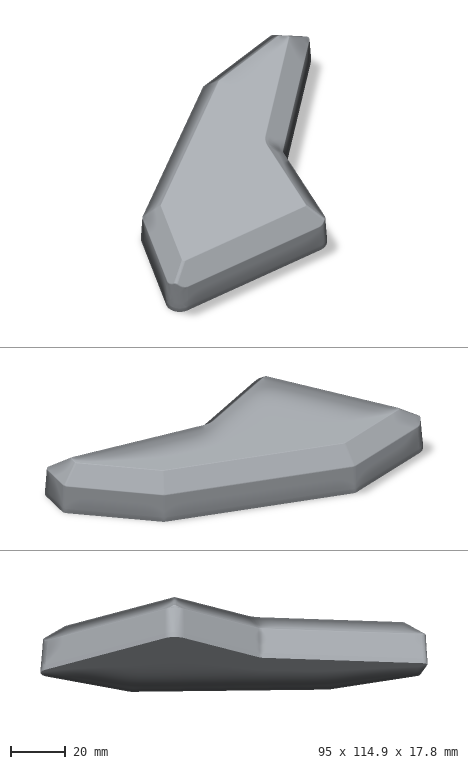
import cadquery as cq
import math

total_height = 17.8
band_height = 1.8
eave_height = 11.4

wall_inset = 0.5
roof_inset = 6.5

right_side = 47.4
corners = [
    (-47.8, 46.5, 2.3),
    (-38.9, 58.5, 1.7),
    (6.5, 16.8, 2.3),
    (right_side, 10.5, 5.2),
    (right_side, -59.2, 5.2),
    (6.9, -46.1, 2.3),
    (-38.6, 10.4, 2.3),
]
inner_bend = 2

ridge_radius = 0.9
rim_radius = 0.5

reach = 115.0
eave_slack = 0.1


def unit(start, end):
    """Unit vector pointing from one point to another."""
    length = math.dist(start, end)
    return (end[0] - start[0]) / length, (end[1] - start[1]) / length


def rounded_outline(inset, height, radii):
    """Closed wire at the given height: the base outline moved inward, each corner rounded."""
    points = [(x, y) for x, y, _ in corners]
    path = cq.Workplane("XY", origin=(0, 0, height))
    for i, (x, y) in enumerate(points):
        arriving = unit(points[i - 1], (x, y))
        leaving = unit((x, y), points[(i + 1) % len(points)])
        cosine = arriving[0] * leaving[0] + arriving[1] * leaving[1]
        turn = math.acos(cosine)

        shift = inset / (1 + cosine)
        corner_x = x + shift * (arriving[1] + leaving[1])
        corner_y = y - shift * (arriving[0] + leaving[0])

        setback = radii[i] * math.tan(turn / 2)
        sagitta = radii[i] * (1 / math.cos(turn / 2) - 1)
        bisector = unit(arriving, leaving)
        start = (corner_x - setback * arriving[0], corner_y - setback * arriving[1])
        middle = (corner_x + sagitta * bisector[0], corner_y + sagitta * bisector[1])
        end = (corner_x + setback * leaving[0], corner_y + setback * leaving[1])

        path = path.moveTo(*start) if i == 0 else path.lineTo(*start)
        path = path.threePointArc(middle, end)
    return path.close().val()


def block_between(lower, upper):
    """Solid with straight sides running from one outline to the other."""
    return cq.Workplane(cq.Solid.makeLoft([lower, upper], True))


def roof_outline(inset, height):
    """Roof outline: tight ridges, and an inward bend that opens up as the roof moves in."""
    radii = [ridge_radius] * len(corners)
    radii[inner_bend] = corners[inner_bend][2] + inset
    return rounded_outline(inset, height, radii)


wall_radii = [radius for _, _, radius in corners]

band = block_between(
    rounded_outline(0, 0, wall_radii),
    rounded_outline(0, band_height, wall_radii),
)

draft_per_height = wall_inset / (eave_height - band_height)
walls = block_between(
    rounded_outline(0, band_height, wall_radii),
    rounded_outline(draft_per_height * (total_height - band_height), total_height, wall_radii),
)

roof = block_between(
    roof_outline(wall_inset, eave_height),
    roof_outline(wall_inset + roof_inset, total_height),
)
below_eave = cq.Workplane("XY").rect(2 * reach, 2 * reach).extrude(eave_height)

body = band.union(walls.intersect(below_eave)).union(walls.intersect(roof))

body = body.faces(">Z").edges().fillet(rim_radius)
eave_edges = cq.selectors.BoxSelector(
    (-reach, -reach, eave_height - eave_slack),
    (reach, reach, (eave_height + total_height) / 2),
    boundingbox=True,
)
result = body.edges(eave_edges).fillet(rim_radius)